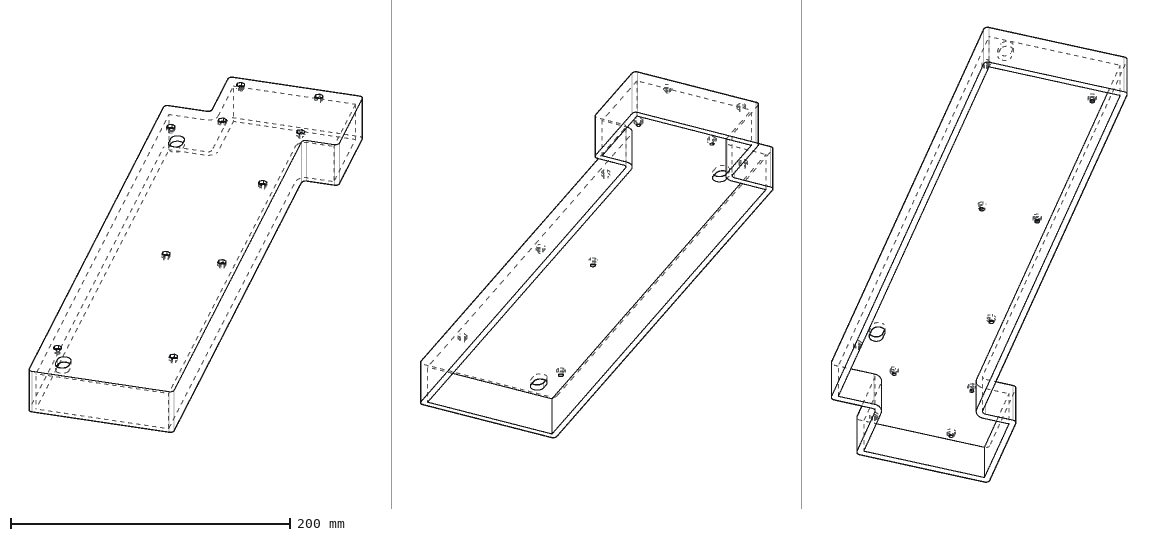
import cadquery as cq
import math

LENGTH = 415.5
WIDTH = 134.2
THICKNESS = 34.5
CORNER_RADIUS = 3.0
WALL = 4.5

BODY_WIDTH = 107.5
HEAD_LEFT = 34.5
BODY_LENGTH = 367.0
HEAD_BOTTOM = 348.2

HEAD_BORE = 2.75
BODY_BORE = 3.4
NUT_ACROSS_FLATS = 5.5
NUT_DEPTH = 2.5
HEAD_HOLE_XS = (45.5, 103.5)
HEAD_HOLE_YS = (358.0, 407.2)
RIGHT_HOLE_X = 95.0
RIGHT_HOLE_YS = (46.0, 176.5, 286.0)
CENTRE_HOLE_X = 53.5
LEFT_HOLE_X = 12.0

SLOT_WIDTH = 10.0
SLOT_LENGTH = 15.0
SLOT_X = 21.0
SLOT_Y = 17.5
SLOT_PITCH = 305.0
SLOT_YS = (SLOT_Y, SLOT_Y + SLOT_PITCH)
HOLE_ABOVE_SLOT = 18.0


def make_housing():
    """Stepped tray, open below, with every upright outer edge rounded."""
    outline = [
        (0, 0),
        (BODY_WIDTH, 0),
        (BODY_WIDTH, HEAD_BOTTOM),
        (WIDTH, HEAD_BOTTOM),
        (WIDTH, LENGTH),
        (HEAD_LEFT, LENGTH),
        (HEAD_LEFT, BODY_LENGTH),
        (0, BODY_LENGTH),
    ]
    housing = cq.Workplane("XY").polyline(outline).close().extrude(THICKNESS)
    housing = housing.edges("|Z").fillet(CORNER_RADIUS)
    return housing.faces("<Z").shell(-WALL)


def head_hole_points():
    """Centres of the four holes in the head."""
    return [(x, y) for x in HEAD_HOLE_XS for y in HEAD_HOLE_YS]


def body_hole_points():
    """Centres of the holes along the two long sides of the body and of the one between them."""
    right = [(RIGHT_HOLE_X, y) for y in RIGHT_HOLE_YS]
    left = [(LEFT_HOLE_X, y + HOLE_ABOVE_SLOT) for y in SLOT_YS]
    centre = (CENTRE_HOLE_X, RIGHT_HOLE_YS[1])
    return right + left + [centre]


def top_face(housing):
    """Workplane on the top face, with its origin above the global one."""
    return housing.faces(">Z").workplane(origin=(0, 0, THICKNESS))


def cut_screw_holes(housing, points, bore):
    """Drill the bores through the top wall and sink a nut pocket, corner towards +Y, in each."""
    across_corners = NUT_ACROSS_FLATS / math.cos(math.pi / 6)
    nut = cq.Workplane("XY").polygon(6, across_corners).extrude(NUT_DEPTH)
    nut = nut.rotate((0, 0, 0), (0, 0, 1), 90)
    housing = top_face(housing).pushPoints(points).hole(bore)
    for x, y in points:
        housing = housing.cut(nut.translate((x, y, THICKNESS - NUT_DEPTH)))
    return housing


def cut_slots(housing):
    """Cut the two slots through the top wall."""
    points = [(SLOT_X, y) for y in SLOT_YS]
    return top_face(housing).pushPoints(points).slot2D(SLOT_LENGTH, SLOT_WIDTH, 90).cutThruAll()


result = make_housing()
result = cut_screw_holes(result, head_hole_points(), HEAD_BORE)
result = cut_screw_holes(result, body_hole_points(), BODY_BORE)
result = cut_slots(result)